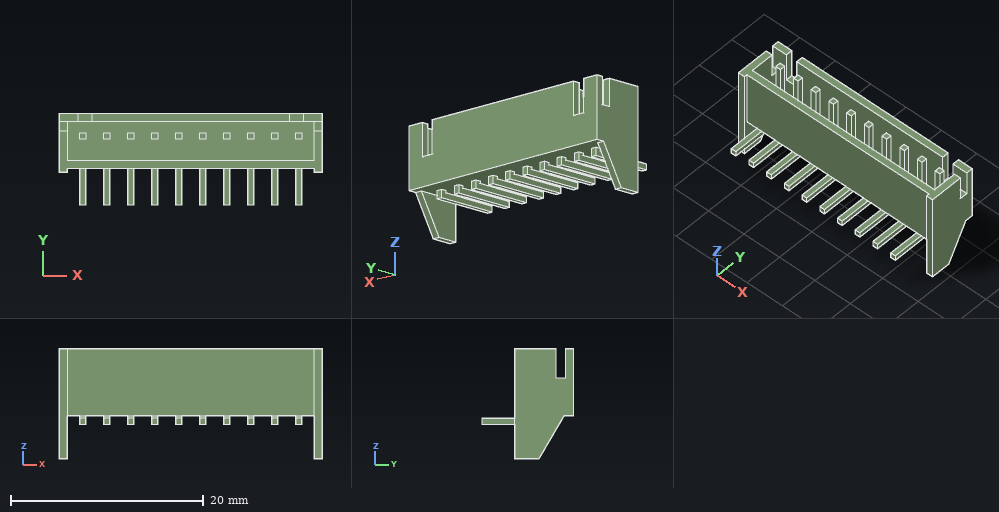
import cadquery as cq

length = 27.4
overall_depth = 9.55
depth = 6.15
height = 11.5
wall = 0.85

box_height = 7.01
front_recess = 0.38
cavity_depth = box_height - wall

foot_depth = 2.52
ledge_depth = 1.0
notch_width = 1.0
notch_depth = 3.07

slot_offset = 1.95
slot_width = 1.45
slot_depth = 3.73

pin_count = 10
pin_row_length = 22.5
pin_pitch = pin_row_length / (pin_count - 1)
pin_size = 0.65
pin_rear_offset = 2.03
pin_reach = overall_depth - depth
pin_tip_drop = 0.22
pin_bottom = 7.92


def block(x_range, y_range, z_range):
    """Axis-aligned box spanning the given (low, high) ranges."""
    (x0, x1), (y0, y1), (z0, z1) = x_range, y_range, z_range
    return cq.Workplane("XY").box(x1 - x0, y1 - y0, z1 - z0, centered=False).translate((x0, y0, z0))


def end_plate(x_start):
    """Side plate with a tapered foot and a notch just ahead of the rear wall."""
    notch_rear = depth - wall
    notch_front = notch_rear - notch_width
    outline = [
        (0, 0),
        (notch_front, 0),
        (notch_front, -notch_depth),
        (notch_rear, -notch_depth),
        (notch_rear, 0),
        (depth, 0),
        (depth, -box_height),
        (depth - ledge_depth, -box_height),
        (foot_depth, -height),
        (0, -height),
    ]
    return cq.Workplane("YZ").polyline(outline).close().extrude(wall).translate((x_start, 0, 0))


def shroud():
    """Open-topped box with two slots in its rear wall."""
    inner_x = (wall, length - wall)
    inner_y = (front_recess + wall, depth - wall)
    body = block(inner_x, (front_recess, depth), (-box_height, 0))
    body = body.cut(block(inner_x, inner_y, (-cavity_depth, 0)))
    for slot_start in (slot_offset, length - slot_offset - slot_width):
        slot_x = (slot_start, slot_start + slot_width)
        body = body.cut(block(slot_x, (depth - wall, depth), (-slot_depth, 0)))
    return body


def pin(x_center):
    """Square pin rising through the floor and bent forward below it."""
    pin_x = (x_center - pin_size / 2, x_center + pin_size / 2)
    rear = depth - pin_rear_offset
    upright = block(pin_x, (rear - pin_size, rear), (-pin_bottom, -pin_tip_drop))
    tail = block(pin_x, (-pin_reach, rear), (-pin_bottom, -pin_bottom + pin_size))
    return upright.union(tail)


result = shroud()
for plate_start in (0, length - wall):
    result = result.union(end_plate(plate_start))

first_pin = (length - pin_row_length) / 2
for index in range(pin_count):
    result = result.union(pin(first_pin + index * pin_pitch))